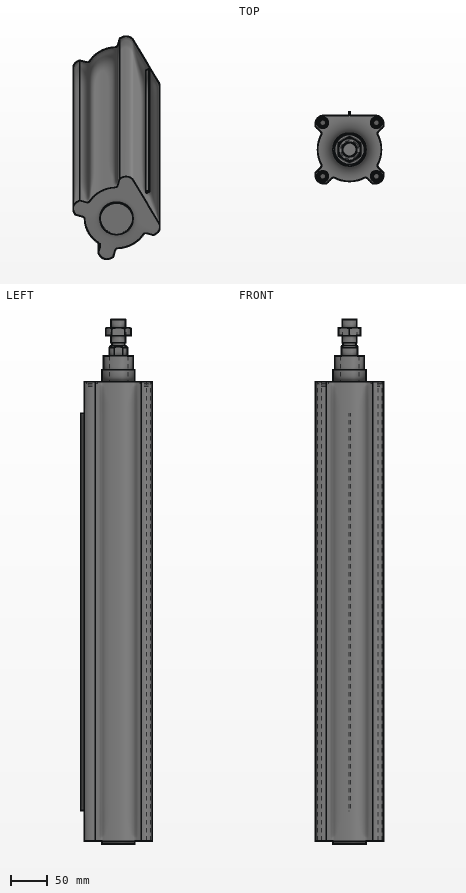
import cadquery as cq
import math


total_height = 717.5
body_bottom = 4.0
body_top = 632.0

body_width = 93.0
half_width = body_width / 2
corner_radius = 11.5
screw_offset = 36.5
barrel_radius = 44.0
lobe_flat_end = 31.5
blend_radius = 3.5

recess_diameter = 15.0
recess_depth = 2.0
screw_hole_diameter = 8.5
screw_hole_depth = 6.5
countersink_diameter = 12.0
countersink_angle = 45

rib_width = 2.0
rib_height = 5.0
rib_bottom = 46.0
rib_top = 589.0

spigot_diameter = 45.0
spigot_top = 649.0
collar_diameter = 41.0
collar_top = 667.5

rod_diameter = 25.0
shoulder_top = 681.0
shoulder_chamfer = 2.0
flats_width = 22.0
neck_diameter = 18.0
thread_bottom = 685.0
thread_diameter = 20.0
tip_chamfer = 1.0

nut_flats_width = 30.0
nut_bottom = 695.0
nut_top = 706.0
nut_chamfer_angle = 30
hexagon_sides = 6


def cylinder(diameter, bottom, top):
    return cq.Workplane("XY").workplane(offset=bottom).circle(diameter / 2).extrude(top - bottom)


def screw_points():
    offsets = [-screw_offset, screw_offset]
    return [(x, y) for x in offsets for y in offsets]


def make_body_block():
    """Square bar with three notched sides: 45 degree lobe sides blend in to the round barrel, +Y is flat."""
    height = body_top - body_bottom
    diagonal = math.sqrt(2)
    lobe_half = (half_width - lobe_flat_end) / diagonal
    blend_across = lobe_half + blend_radius
    blend_along = math.sqrt((barrel_radius + blend_radius) ** 2 - blend_across**2)
    center_x = (blend_along - blend_across) / diagonal
    center_y = -(blend_along + blend_across) / diagonal
    lobe_x = center_x + blend_radius / diagonal
    lobe_y = center_y + blend_radius / diagonal
    tangent_angle = math.atan2(center_x, -center_y)
    barrel_x = barrel_radius * math.sin(tangent_angle)
    barrel_y = -barrel_radius * math.cos(tangent_angle)
    mid_angle = (math.pi / 4 - tangent_angle) / 2
    mid_x = center_x + blend_radius * math.sin(mid_angle)
    mid_y = center_y + blend_radius * math.cos(mid_angle)

    block = cq.Workplane("XY").workplane(offset=body_bottom).rect(body_width, body_width).extrude(height)
    block = block.edges("|Z").fillet(corner_radius)
    notch = (
        cq.Workplane("XY").workplane(offset=body_bottom)
        .moveTo(-lobe_flat_end, -half_width)
        .lineTo(-lobe_x, lobe_y)
        .threePointArc((-mid_x, mid_y), (-barrel_x, barrel_y))
        .threePointArc((0, -barrel_radius), (barrel_x, barrel_y))
        .threePointArc((mid_x, mid_y), (lobe_x, lobe_y))
        .lineTo(lobe_flat_end, -half_width)
        .close()
        .extrude(height)
    )
    for angle in (-90, 0, 90):
        block = block.cut(notch.rotate((0, 0, 0), (0, 0, 1), angle))
    return block


def cut_screw_recesses(body):
    """Round recess over a blind hole with a countersink, on each lobe."""
    seat = body_top - recess_depth
    countersink_width = (countersink_diameter - screw_hole_diameter) / 2
    countersink_depth = countersink_width / math.tan(math.radians(countersink_angle))
    recess = cylinder(recess_diameter, seat, body_top)
    hole = cylinder(screw_hole_diameter, body_top - screw_hole_depth, seat)
    countersink = cq.Workplane("XY").workplane(offset=seat).circle(countersink_diameter / 2)
    countersink = countersink.extrude(-countersink_depth, taper=countersink_angle)
    cutter = recess.union(hole).union(countersink)
    for x, y in screw_points():
        body = body.cut(cutter.translate((x, y, 0)))
    return body


def make_rib():
    rib = cq.Workplane("XY").box(rib_width, rib_height, rib_top - rib_bottom, centered=(True, False, False))
    return rib.translate((0, half_width, rib_bottom))


def make_housing():
    """Body with its rib, a spigot at each end and a stepped collar bored for the rod."""
    housing = cut_screw_recesses(make_body_block())
    housing = housing.union(make_rib())
    housing = housing.union(cylinder(spigot_diameter, 0, body_bottom))
    housing = housing.union(cylinder(spigot_diameter, body_top, spigot_top))
    housing = housing.union(cylinder(collar_diameter, spigot_top, collar_top))
    return housing.cut(cylinder(rod_diameter, body_top, collar_top))


def make_rod():
    """Rod seated in the collar, with wrench flats on +X and -X, a neck and a threaded end."""
    shank = cylinder(rod_diameter, body_top, shoulder_top).faces(">Z").chamfer(shoulder_chamfer)
    flats_height = shoulder_top - collar_top
    flats = cq.Workplane("XY").workplane(offset=collar_top).rect(flats_width, rod_diameter).extrude(flats_height)
    shank = shank.intersect(flats.union(cylinder(rod_diameter, body_top, collar_top)))
    neck = cylinder(neck_diameter, shoulder_top, thread_bottom)
    thread = cylinder(thread_diameter, thread_bottom, total_height).faces(">Z").chamfer(tip_chamfer)
    return shank.union(neck).union(thread)


def make_nut():
    """Hexagon nut with flats facing +X and -X and its upper corners turned to a cone."""
    corner_diameter = nut_flats_width / math.cos(math.pi / hexagon_sides)
    nut = cq.Workplane("XY").workplane(offset=nut_bottom)
    nut = nut.polygon(hexagon_sides, corner_diameter).extrude(nut_top - nut_bottom)
    nut = nut.rotate((0, 0, 0), (0, 0, 1), 180 / hexagon_sides)
    corner_inset = (corner_diameter - nut_flats_width) / 2
    cone_height = corner_inset * math.tan(math.radians(nut_chamfer_angle))
    cone = cq.Workplane("XY").workplane(offset=nut_top - cone_height).circle(corner_diameter / 2)
    cone = cone.workplane(offset=cone_height).circle(nut_flats_width / 2).loft(ruled=True)
    turned = cylinder(corner_diameter, nut_bottom, nut_top - cone_height).union(cone)
    return nut.intersect(turned).cut(cylinder(thread_diameter, nut_bottom, nut_top))


housing = make_housing()
piston_rod = make_rod()
lock_nut = make_nut()

result = cq.Compound.makeCompound([housing.val(), piston_rod.val(), lock_nut.val()])